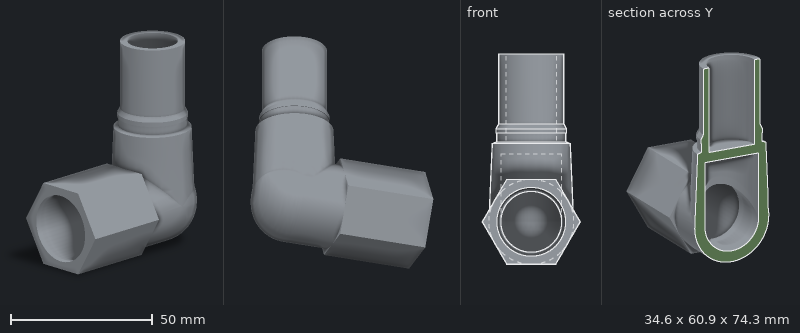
import cadquery as cq
import math


corner_width = 34.6
total_depth = 60.9
total_height = 74.3

hex_flats = corner_width * math.cos(math.radians(30))
hex_length = 31.8

elbow_radius = hex_flats / 2
back_y = elbow_radius
back_fillet = 13.3
front_y = back_y - total_depth
hex_back_y = front_y + hex_length
arm_top_radius = 13.8
arm_base_radius = elbow_radius

top_z = total_height - elbow_radius
arm_top_z = 27.65
shoulder_z = 28.2
collar_bottom_z = 31.3
collar_chamfer_z = 32.85
collar_top_z = 34.6

tube_radius = 23.0 / 2
neck_radius = 24.5 / 2
collar_radius = 25.0 / 2

tube_bore_radius = 18.0 / 2
tube_floor_z = arm_top_z
mouth_radius = 24.3 / 2
elbow_bore_radius = 21.5 / 2
partition = 3.7
seat_length = mouth_radius - elbow_bore_radius


def upright_arm():
    """Tapered arm with a sloped shoulder, neck, collar and tube as one turned shape."""
    profile = [
        (0, 0),
        (arm_base_radius, 0),
        (arm_top_radius, arm_top_z),
        (neck_radius, shoulder_z),
        (neck_radius, collar_bottom_z),
        (collar_radius, collar_bottom_z),
        (collar_radius, collar_chamfer_z),
        (tube_radius, collar_top_z),
        (tube_radius, top_z),
        (0, top_z),
    ]
    return cq.Workplane("XZ").polyline(profile).close().revolve(360, (0, 0), (0, 1))


def horizontal_arm():
    """Round arm with a rounded back end."""
    arm = cq.Workplane("XZ", origin=(0, back_y, 0)).circle(elbow_radius).extrude(back_y - hex_back_y)
    return arm.faces(">Y").edges().fillet(back_fillet)


def hex_socket():
    """Hexagonal prism with corners on +X and -X."""
    return cq.Workplane("XZ", origin=(0, hex_back_y, 0)).polygon(6, corner_width).extrude(hex_length)


def socket_cavity():
    """Round socket with a 45 degree seat, then a narrower bore that turns upwards at a spherical bend."""
    profile = [
        (0, front_y),
        (mouth_radius, front_y),
        (mouth_radius, hex_back_y - seat_length),
        (elbow_bore_radius, hex_back_y),
        (elbow_bore_radius, 0),
        (0, 0),
    ]
    socket = cq.Workplane("XY").polyline(profile).close().revolve(360, (0, 0), (0, 1))
    riser = cq.Workplane("XY").circle(elbow_bore_radius).extrude(tube_floor_z - partition)
    bend = cq.Workplane("XY").sphere(elbow_bore_radius)
    return socket.union(riser).union(bend)


def tube_cavity():
    """Blind bore in the tube, ending at the top of the tapered arm."""
    return cq.Workplane("XY", origin=(0, 0, tube_floor_z)).circle(tube_bore_radius).extrude(top_z - tube_floor_z)


body = upright_arm().union(horizontal_arm()).union(hex_socket())
result = body.cut(socket_cavity()).cut(tube_cavity())